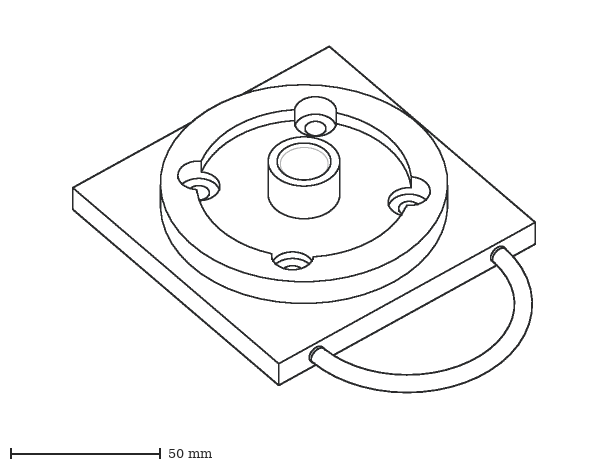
import cadquery as cq
import math

plate_side = 110.0
plate_thickness = 10.0

flange_diameter = 96.0
flange_height = 10.0
recess_diameter = 72.0
recess_depth = 5.0

boss_diameter = 24.0
boss_projection = 10.0

socket_diameter = 16.0
socket_chamfer = 1.0
socket_tip_angle = 118.0

hole_spacing = 50.0
hole_diameter = 7.0
counterbore_diameter = 14.0
counterbore_depth = 8.0

handle_bar_diameter = 6.0
handle_bend_radius = 38.89
collar_diameter = 6.1
collar_length = 1.0
handle_embed = 2.0

flange_top = plate_thickness + flange_height
recess_floor = flange_top - recess_depth
boss_top = flange_top + boss_projection


def cylinder(diameter, bottom, top):
    """Upright cylinder on the Z axis between two heights."""
    return cq.Workplane("XY").workplane(offset=bottom).circle(diameter / 2).extrude(top - bottom)


def make_body():
    """Plate and recessed flange with the boss standing in the recess."""
    plate = cq.Workplane("XY").box(plate_side, plate_side, plate_thickness, centered=(True, True, False))
    flange = cylinder(flange_diameter, plate_thickness, flange_top)
    recess = cylinder(recess_diameter, recess_floor, flange_top)
    boss = cylinder(boss_diameter, recess_floor, boss_top)
    return plate.union(flange).cut(recess).union(boss)


def make_socket():
    """Revolved cutter for the conical socket and its mouth chamfer."""
    socket_radius = socket_diameter / 2
    tip_height = socket_radius / math.tan(math.radians(socket_tip_angle / 2))
    cone_top = boss_top - socket_chamfer
    return (
        cq.Workplane("XZ")
        .moveTo(0, boss_top)
        .lineTo(socket_radius + socket_chamfer, boss_top)
        .lineTo(socket_radius, cone_top)
        .lineTo(0, cone_top - tip_height)
        .close()
        .revolve(360, (0, 0, 0), (0, 1, 0))
    )


def make_mounting_holes():
    """Cutters for the four through holes and their counterbores."""
    counterbore_floor = flange_top - counterbore_depth
    hole = cylinder(hole_diameter, 0, flange_top)
    cutter = hole.union(cylinder(counterbore_diameter, counterbore_floor, flange_top))
    cutters = cq.Workplane("XY")
    for x_side in (-1, 1):
        for y_side in (-1, 1):
            offset = (x_side * hole_spacing / 2, y_side * hole_spacing / 2, 0)
            cutters = cutters.add(cutter.translate(offset))
    return cutters.combine()


def make_handle():
    """Semicircular bar on the +X side, its collared ends set into the plate."""
    face_x = plate_side / 2
    start_x = face_x - handle_embed
    mid_height = plate_thickness / 2
    path = (
        cq.Workplane("XY", origin=(0, 0, mid_height))
        .moveTo(start_x, -handle_bend_radius)
        .lineTo(face_x, -handle_bend_radius)
        .threePointArc((face_x + handle_bend_radius, 0), (face_x, handle_bend_radius))
        .lineTo(start_x, handle_bend_radius)
    )
    section = cq.Workplane("YZ", origin=(start_x, -handle_bend_radius, mid_height))
    handle = section.circle(handle_bar_diameter / 2).sweep(path)
    for end_y in (-handle_bend_radius, handle_bend_radius):
        collar_plane = cq.Workplane("YZ", origin=(start_x, end_y, mid_height))
        collar = collar_plane.circle(collar_diameter / 2).extrude(handle_embed + collar_length)
        handle = handle.union(collar)
    return handle


result = make_body().cut(make_socket()).cut(make_mounting_holes()).union(make_handle())